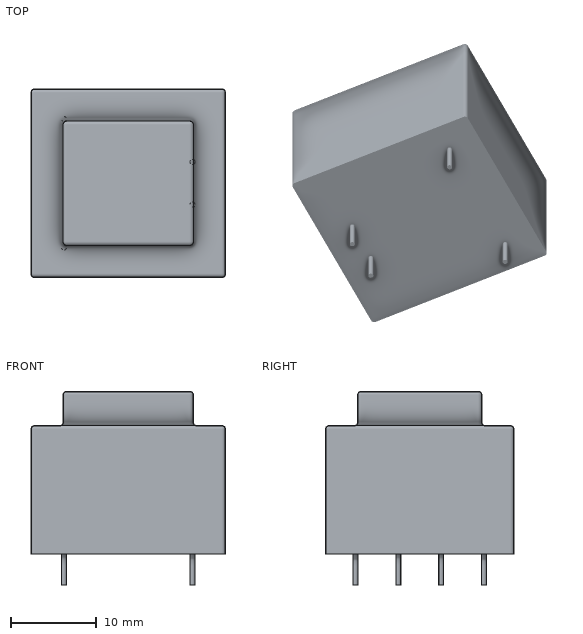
import cadquery as cq


case_length = 22.7
case_width = 22.0
case_height = 15.0
edge_radius = 0.4

block_length = 15.2
block_width = 14.5
block_height = 4.0

pin_diameter = 0.6
pin_length = 3.6
row_spacing = 15.0
pin_pitch = row_spacing / 3

pin_positions = []
for side in (-1, 1):
    pin_positions.append((-row_spacing / 2, side * 1.5 * pin_pitch))
    pin_positions.append((row_spacing / 2, side * 0.5 * pin_pitch))


def rounded_block(length, width, height, base_z):
    """Block with rounded upright and top edges and a sharp bottom outline."""
    return (
        cq.Workplane("XY", origin=(0, 0, base_z))
        .rect(length, width)
        .extrude(height)
        .edges("|Z or >Z")
        .fillet(edge_radius)
    )


def make_housing():
    """Case and raised block in one solid, with a fillet around the foot of the block."""
    case = rounded_block(case_length, case_width, case_height, 0)
    block = rounded_block(block_length, block_width, block_height, case_height)
    margin = 2 * edge_radius
    foot_region = cq.selectors.BoxSelector(
        (-block_length / 2 - margin, -block_width / 2 - margin, case_height - edge_radius / 2),
        (block_length / 2 + margin, block_width / 2 + margin, case_height + edge_radius / 2),
        boundingbox=True,
    )
    return case.union(block).edges(foot_region).fillet(edge_radius)


def make_pin(x, y):
    """Round pin that hangs from the underside of the case."""
    return cq.Workplane("XY").center(x, y).circle(pin_diameter / 2).extrude(-pin_length)


housing = make_housing()
pins = [make_pin(x, y) for x, y in pin_positions]

result = cq.Compound.makeCompound([housing.val(), *[pin.val() for pin in pins]])